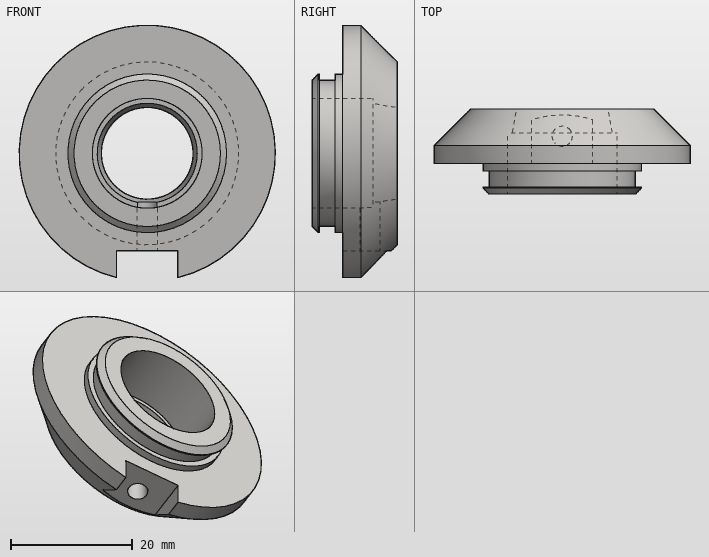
import cadquery as cq

total_length = 14.0
hub_length = 5.0
rim_width = 3.0
rim_end = hub_length + rim_width

flange_radius = 21.0
back_face_radius = 15.0
hub_radius = 13.0
hub_chamfer = 1.0

groove_radius = 12.0
groove_start = 1.2
groove_end = 3.8

bore_radius = 9.0
bore_depth = 10.0
taper_start_radius = 8.2
taper_end_radius = 7.5

notch_width = 10.0
notch_floor_radius = 16.0
radial_hole_radius = 1.65
radial_hole_position = 9.5


def turned_body():
    """Revolve the half section, bore included, about the Y axis."""
    section = [
        (bore_radius, 0),
        (hub_radius - hub_chamfer, 0),
        (hub_radius, hub_chamfer),
        (hub_radius, groove_start),
        (groove_radius, groove_start),
        (groove_radius, groove_end),
        (hub_radius, groove_end),
        (hub_radius, hub_length),
        (flange_radius, hub_length),
        (flange_radius, rim_end),
        (back_face_radius, total_length),
        (taper_end_radius, total_length),
        (taper_start_radius, bore_depth),
        (bore_radius, bore_depth),
    ]
    return cq.Workplane("XY").polyline(section).close().revolve(360, (0, 0, 0), (0, 1, 0))


def rim_notch():
    """Flat-floored notch through the bottom of the flange, along the axis."""
    return cq.Workplane("XY").box(
        notch_width, total_length, flange_radius, centered=(True, False, False)
    ).translate((0, 0, -notch_floor_radius - flange_radius))


def radial_hole():
    """Cylinder from the part axis down to the notch floor."""
    return (
        cq.Workplane("XY")
        .center(0, radial_hole_position)
        .circle(radial_hole_radius)
        .extrude(-notch_floor_radius)
    )


result = turned_body().cut(rim_notch()).cut(radial_hole())